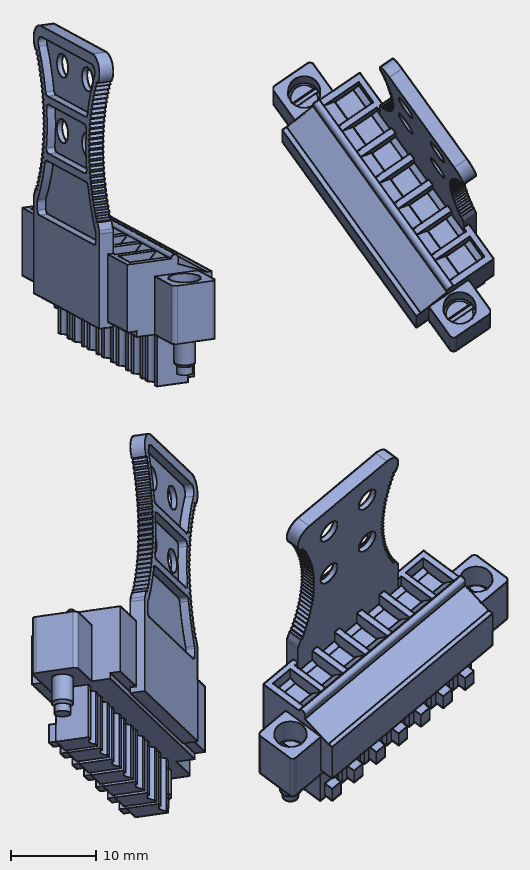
import cadquery as cq
import math

BODY_BOTTOM = 6.65

HANDLE_TOP = 39.75
HANDLE_WIDTH = 17.17
HANDLE_THICKNESS = 1.83
HANDLE_CORNER_RADIUS = 1.95
SHOULDER_FILLET = 0.95

WAIST_HEIGHT = 28.0
WAIST_HALF_WIDTH = 6.1
WAIST_RADIUS = 19.08
TOOTH_DEPTH = 0.3
TOOTH_COUNT = 27
SERRATION_ANGLE = math.radians(52)
TOOTH_ANGLE = SERRATION_ANGLE / TOOTH_COUNT
SERRATION_HALF_ANGLE = SERRATION_ANGLE / 2
WAIST_CENTER_X = WAIST_HALF_WIDTH + WAIST_RADIUS
VALLEY_RADIUS = WAIST_RADIUS + TOOTH_DEPTH

RECESS_DEPTH = 1.1
RECESS_RIM = 1.05
RECESS_HALF_WIDTH = 7.6
RECESS_FILLET = 0.5
TOP_RECESS_FILLET = 0.87
TOP_RECESS_SPAN = (31.6, 38.45)
MIDDLE_RECESS_SPAN = (24.65, 30.65)
BOTTOM_RECESS_SPAN = (16.55, 23.7)

FINGER_HOLE_DIAMETER = 2.85
FINGER_HOLE_X = 3.25
FINGER_HOLE_HEIGHTS = (27.63, 35.6)

HOUSING_WIDTH = 27.43
HOUSING_FRONT = 1.07
HOUSING_BACK = 12.2
HOUSING_TOP = 15.62
UNDERCUT_HEIGHT = 7.35
BASE_FRONT = 2.35
BASE_BACK = 10.37
BACK_EDGE_HEIGHT = 13.4
RAMP_START = 11.55
RAMP_TOP = 14.85
RIDGE_RADIUS = 0.48
RIDGE_FRONT = 6.85
RIDGE_BACK = RIDGE_FRONT + 2 * RIDGE_RADIUS

POLE_PITCH = 3.8
END_POLE_X = 11.35
INNER_POLES = [i * POLE_PITCH for i in range(-2, 3)]
POLE_POSITIONS = [-END_POLE_X, *INNER_POLES, END_POLE_X]

FUNNEL_WIDTH = 3.0
FUNNEL_FRONT = HANDLE_THICKNESS
FUNNEL_BACK = RIDGE_FRONT
FUNNEL_FLOOR = 13.6
FUNNEL_FLOOR_FRONT = 2.62
FUNNEL_FLOOR_BACK = 5.25
FUNNEL_LIP_RISE = 0.3
FUNNEL_STEP = 0.3

PRONG_WIDTH = 3.05
PRONG_FRONT = 5.4
PRONG_BACK = 9.5
GROOVE_HALF_WIDTH = 0.87
GROOVE_DEPTH = 0.5
KEY_WIDTH = 1.5
KEY_DEPTH = 1.2
KEY_BOTTOM = 0.35
KEY_TOP = 2.62

LUG_END_X = 18.52
LUG_FRONT = 4.7
LUG_TOP = 13.75
LUG_FILLET = 0.5
SCREW_X = 15.9
SCREW_Y = 7.5

HEAD_RADIUS = 1.9
HEAD_SEAT = 8.75
HEAD_TOP = 10.55
HEAD_CHAMFER = 0.3
DRIVE_SLOT_WIDTH = 0.6
DRIVE_SLOT_DEPTH = 0.6
SHANK_RADIUS = 1.27
SHANK_END = 3.45
TIP_RADIUS = 0.95
TIP_START = 3.1
TIP_END = 2.15


def box(x_span, y_span, z_span):
    """Axis-aligned block between pairs of limits."""
    size = [span[1] - span[0] for span in (x_span, y_span, z_span)]
    return cq.Workplane("XY").box(*size, centered=False).translate((x_span[0], y_span[0], z_span[0]))


def waist_point(radius, angle):
    """Point on an arc about the right-hand waist centre, at an angle above the waist."""
    return (WAIST_CENTER_X - radius * math.cos(angle), WAIST_HEIGHT + radius * math.sin(angle))


def waist_half_width(radius, height):
    """Distance from the middle plane to a waist arc at a given height."""
    return WAIST_CENTER_X - math.sqrt(radius**2 - (height - WAIST_HEIGHT) ** 2)


def side_cutter():
    """Serrated cutter for the right side of the handle, and the height of the shoulder below it."""
    outside_x = HANDLE_WIDTH
    half_width = HANDLE_WIDTH / 2

    teeth = [waist_point(VALLEY_RADIUS, -SERRATION_HALF_ANGLE)]
    for i in range(TOOTH_COUNT):
        valley_angle = (i + 1) * TOOTH_ANGLE - SERRATION_HALF_ANGLE
        teeth.append(waist_point(WAIST_RADIUS, valley_angle - TOOTH_ANGLE / 2))
        teeth.append(waist_point(VALLEY_RADIUS, valley_angle))

    bottom_z = teeth[0][1]
    shoulder_x = waist_half_width(WAIST_RADIUS, bottom_z)
    shoulder_z = bottom_z - (half_width - shoulder_x) / math.tan(SERRATION_HALF_ANGLE)
    shoulder = [(half_width, shoulder_z), (shoulder_x, bottom_z)]

    center_x = half_width - HANDLE_CORNER_RADIUS
    center_z = HANDLE_TOP - HANDLE_CORNER_RADIUS
    corner_angle = math.asin((center_z - teeth[-1][1]) / HANDLE_CORNER_RADIUS)
    corner_end, corner_middle = [
        (
            center_x + HANDLE_CORNER_RADIUS * math.cos(angle),
            center_z - HANDLE_CORNER_RADIUS * math.sin(angle),
        )
        for angle in (corner_angle, corner_angle / 2)
    ]

    cutter = (
        cq.Workplane("XZ")
        .polyline([(outside_x, shoulder_z)] + shoulder + teeth + [corner_end])
        .threePointArc(corner_middle, (half_width, center_z))
        .lineTo(outside_x, center_z)
        .close()
        .extrude(-HANDLE_THICKNESS)
    )
    return cutter, shoulder_z


def recess(span):
    """Recess in the handle face between two heights, with sides that follow the waist."""
    bottom, top = span
    middle = (bottom + top) / 2
    rim_radius = WAIST_RADIUS + RECESS_RIM
    bottom_x, middle_x, top_x = [waist_half_width(rim_radius, z) for z in (bottom, middle, top)]
    pocket = (
        cq.Workplane("XZ")
        .moveTo(-bottom_x, bottom)
        .lineTo(bottom_x, bottom)
        .threePointArc((middle_x, middle), (top_x, top))
        .lineTo(-top_x, top)
        .threePointArc((-middle_x, middle), (-bottom_x, bottom))
        .close()
        .extrude(-RECESS_DEPTH)
    )
    return pocket


def make_recesses():
    """The three handle recesses with rounded corners; the bottom one is also limited in width."""
    top = recess(TOP_RECESS_SPAN)
    top = top.edges("|Y").edges(">Z").fillet(TOP_RECESS_FILLET)
    top = top.edges("|Y").edges("<Z").fillet(RECESS_FILLET)

    middle = recess(MIDDLE_RECESS_SPAN).edges("|Y").fillet(RECESS_FILLET)

    width_limit = box(
        (-RECESS_HALF_WIDTH, RECESS_HALF_WIDTH), (0, RECESS_DEPTH), BOTTOM_RECESS_SPAN
    )
    bottom = recess(BOTTOM_RECESS_SPAN).intersect(width_limit).edges("|Y").fillet(RECESS_FILLET)
    return [top, middle, bottom]


def make_handle():
    """Flat pull handle with serrated waist, recessed face and finger holes."""
    half_width = HANDLE_WIDTH / 2
    plate = box((-half_width, half_width), (0, HANDLE_THICKNESS), (BODY_BOTTOM, HANDLE_TOP))
    plate = plate.edges("|Y").edges(">Z").fillet(HANDLE_CORNER_RADIUS)

    cutter, shoulder_z = side_cutter()
    plate = plate.cut(cutter).cut(cutter.mirror("YZ"))
    for side in (-1, 1):
        corner = cq.selectors.NearestToPointSelector(
            (side * half_width, HANDLE_THICKNESS / 2, shoulder_z)
        )
        plate = plate.edges(corner).fillet(SHOULDER_FILLET)

    for pocket in make_recesses():
        plate = plate.cut(pocket)

    hole_centers = [(side * FINGER_HOLE_X, z) for side in (-1, 1) for z in FINGER_HOLE_HEIGHTS]
    holes = (
        cq.Workplane("XZ")
        .pushPoints(hole_centers)
        .circle(FINGER_HOLE_DIAMETER / 2)
        .extrude(-HANDLE_THICKNESS)
    )
    return plate.cut(holes)


def housing_block():
    """Main block: side profile with the rear ramp and rounded ridge, swept along X."""
    ridge_middle = RIDGE_FRONT + RIDGE_RADIUS
    return (
        cq.Workplane("YZ")
        .moveTo(HOUSING_FRONT, HOUSING_TOP)
        .lineTo(HOUSING_FRONT, UNDERCUT_HEIGHT)
        .lineTo(BASE_FRONT, UNDERCUT_HEIGHT)
        .lineTo(BASE_FRONT, BODY_BOTTOM)
        .lineTo(BASE_BACK, BODY_BOTTOM)
        .lineTo(BASE_BACK, UNDERCUT_HEIGHT)
        .lineTo(HOUSING_BACK, UNDERCUT_HEIGHT)
        .lineTo(HOUSING_BACK, BACK_EDGE_HEIGHT)
        .lineTo(RAMP_START, BACK_EDGE_HEIGHT)
        .lineTo(RIDGE_BACK, RAMP_TOP)
        .lineTo(RIDGE_BACK, HOUSING_TOP)
        .threePointArc((ridge_middle, HOUSING_TOP + RIDGE_RADIUS), (RIDGE_FRONT, HOUSING_TOP))
        .close()
        .extrude(HOUSING_WIDTH / 2, both=True)
    )


def funnel(x):
    """Wire entry pocket of one pole, with a sloping back and a slightly raised front lip."""
    ramp_bottom = FUNNEL_FLOOR + FUNNEL_STEP
    profile = [
        (FUNNEL_FRONT, HOUSING_TOP),
        (FUNNEL_FRONT, FUNNEL_FLOOR + FUNNEL_LIP_RISE),
        (FUNNEL_FLOOR_FRONT, FUNNEL_FLOOR),
        (FUNNEL_FLOOR_BACK, FUNNEL_FLOOR),
        (FUNNEL_FLOOR_BACK, ramp_bottom),
        (FUNNEL_BACK, HOUSING_TOP),
    ]
    pocket = cq.Workplane("YZ").polyline(profile).close().extrude(FUNNEL_WIDTH / 2, both=True)
    return pocket.translate((x, 0, 0))


def prong(x):
    """Contact shroud of one pole, grooved in front and keyed at the back."""
    half_width = PRONG_WIDTH / 2
    column = (
        cq.Workplane("XY")
        .moveTo(-half_width, PRONG_BACK)
        .lineTo(-half_width, PRONG_FRONT)
        .lineTo(-GROOVE_HALF_WIDTH, PRONG_FRONT)
        .threePointArc((0, PRONG_FRONT + GROOVE_DEPTH), (GROOVE_HALF_WIDTH, PRONG_FRONT))
        .lineTo(half_width, PRONG_FRONT)
        .lineTo(half_width, PRONG_BACK)
        .close()
        .extrude(BODY_BOTTOM)
    )
    key = box(
        (-KEY_WIDTH / 2, KEY_WIDTH / 2), (PRONG_BACK, PRONG_BACK + KEY_DEPTH), (KEY_BOTTOM, KEY_TOP)
    )
    return column.union(key).translate((x, 0, 0))


def lug(side):
    """Screw lug on one end of the housing, rounded on its outer corners."""
    inner_x = HOUSING_WIDTH / 2
    block = box((inner_x, LUG_END_X), (LUG_FRONT, BASE_BACK), (BODY_BOTTOM, LUG_TOP))
    block = block.edges("|Z").edges(">X").fillet(LUG_FILLET)
    return block if side > 0 else block.mirror("YZ")


def screw_hole(side):
    """Counterbored hole for one screw."""
    center = cq.Workplane("XY").center(side * SCREW_X, SCREW_Y)
    seat_depth = HEAD_SEAT - BODY_BOTTOM
    bore_depth = LUG_TOP - HEAD_SEAT
    clearance = center.workplane(offset=BODY_BOTTOM).circle(SHANK_RADIUS).extrude(seat_depth)
    counterbore = center.workplane(offset=HEAD_SEAT).circle(HEAD_RADIUS).extrude(bore_depth)
    return clearance.union(counterbore)


def make_housing():
    """Seven-pole housing with its prongs, screw lugs and a seat for the handle."""
    body = housing_block()
    for side in (-1, 1):
        body = body.union(lug(side)).cut(screw_hole(side))
    for x in POLE_POSITIONS:
        body = body.union(prong(x)).cut(funnel(x))
    handle_seat = box(
        (-HANDLE_WIDTH / 2, HANDLE_WIDTH / 2), (0, HANDLE_THICKNESS), (BODY_BOTTOM, HOUSING_TOP)
    )
    return body.cut(handle_seat)


def make_screw(side):
    """Slotted cheese-head screw with a stepped tip."""
    half_profile = [
        (0, TIP_END),
        (TIP_RADIUS, TIP_END),
        (TIP_RADIUS, TIP_START),
        (SHANK_RADIUS, SHANK_END),
        (SHANK_RADIUS, HEAD_SEAT),
        (HEAD_RADIUS, HEAD_SEAT),
        (HEAD_RADIUS, HEAD_TOP - HEAD_CHAMFER),
        (HEAD_RADIUS - HEAD_CHAMFER, HEAD_TOP),
        (0, HEAD_TOP),
    ]
    blank = cq.Workplane("XZ").polyline(half_profile).close().revolve(360, (0, 0, 0), (0, 1, 0))
    slot = box(
        (-DRIVE_SLOT_WIDTH / 2, DRIVE_SLOT_WIDTH / 2),
        (-HEAD_RADIUS, HEAD_RADIUS),
        (HEAD_TOP - DRIVE_SLOT_DEPTH, HEAD_TOP),
    )
    return blank.cut(slot).translate((side * SCREW_X, SCREW_Y, 0))


housing = make_housing()
handle = make_handle()
screws = [make_screw(side) for side in (-1, 1)]

result = cq.Compound.makeCompound([housing.val(), handle.val(), *[screw.val() for screw in screws]])